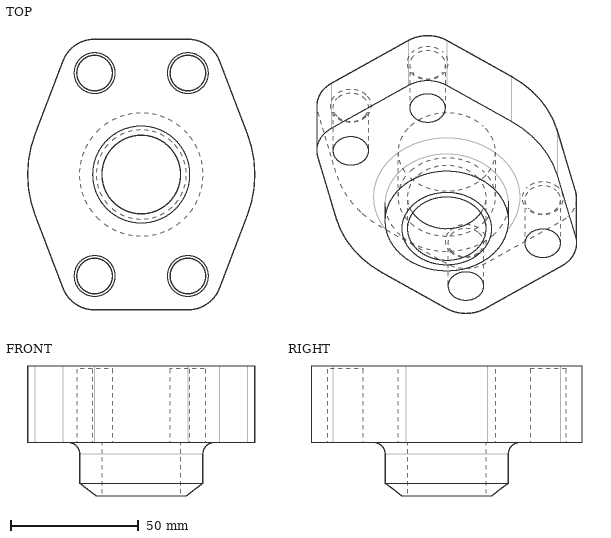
import cadquery as cq
import math

flange_thickness = 30.0
side_radius = 44.5
flange_length = 106.0

bolt_pitch_x = 36.5
bolt_pitch_y = 79.4
bolt_hole_diameter = 13.84
countersink_diameter = 16.0
countersink_angle = 90.0

total_height = 51.0
neck_diameter = 48.3
neck_fillet = 4.5
weld_bevel_angle = 37.5
weld_land = 2.2

bore_diameter = 30.7
counterbore_diameter = 38.0
counterbore_depth = flange_thickness

bolt_x = bolt_pitch_x / 2
bolt_y = bolt_pitch_y / 2
corner_radius = flange_length / 2 - bolt_y
neck_radius = neck_diameter / 2
neck_end_radius = bore_diameter / 2 + weld_land
bevel_height = (neck_radius - neck_end_radius) * math.tan(math.radians(weld_bevel_angle))


def make_flange():
    """Block bounded by the tangent lines between the side arcs and the corner arcs."""
    bolt_distance = math.hypot(bolt_x, bolt_y)
    bolt_direction = math.atan2(bolt_y, bolt_x)
    tangent_angle = bolt_direction - math.acos((side_radius - corner_radius) / bolt_distance)
    corner_mid_angle = (tangent_angle + math.pi / 2) / 2

    side_end_x = side_radius * math.cos(tangent_angle)
    side_end_y = side_radius * math.sin(tangent_angle)
    corner_start_x = bolt_x + corner_radius * math.cos(tangent_angle)
    corner_start_y = bolt_y + corner_radius * math.sin(tangent_angle)
    corner_mid_x = bolt_x + corner_radius * math.cos(corner_mid_angle)
    corner_mid_y = bolt_y + corner_radius * math.sin(corner_mid_angle)
    end_y = flange_length / 2

    outline = (
        cq.Workplane("XY")
        .workplane(offset=-flange_thickness)
        .moveTo(side_end_x, -side_end_y)
        .threePointArc((side_radius, 0), (side_end_x, side_end_y))
        .lineTo(corner_start_x, corner_start_y)
        .threePointArc((corner_mid_x, corner_mid_y), (bolt_x, end_y))
        .lineTo(-bolt_x, end_y)
        .threePointArc((-corner_mid_x, corner_mid_y), (-corner_start_x, corner_start_y))
        .lineTo(-side_end_x, side_end_y)
        .threePointArc((-side_radius, 0), (-side_end_x, -side_end_y))
        .lineTo(-corner_start_x, -corner_start_y)
        .threePointArc((-corner_mid_x, -corner_mid_y), (-bolt_x, -end_y))
        .lineTo(bolt_x, -end_y)
        .threePointArc((corner_mid_x, -corner_mid_y), (corner_start_x, -corner_start_y))
        .close()
    )
    return outline.extrude(flange_thickness)


def make_neck():
    """Neck revolved about Z, with a concave fillet at the flange and a bevelled end."""
    fillet_center_x = neck_radius + neck_fillet
    fillet_bottom_z = -flange_thickness - neck_fillet
    fillet_mid_offset = neck_fillet * math.sqrt(0.5)
    fillet_mid = (fillet_center_x - fillet_mid_offset, fillet_bottom_z + fillet_mid_offset)

    profile = (
        cq.Workplane("XZ")
        .moveTo(0, -flange_thickness)
        .lineTo(fillet_center_x, -flange_thickness)
        .threePointArc(fillet_mid, (neck_radius, fillet_bottom_z))
        .lineTo(neck_radius, -total_height + bevel_height)
        .lineTo(neck_end_radius, -total_height)
        .lineTo(0, -total_height)
        .close()
    )
    return profile.revolve(360, (0, 0, 0), (0, 1, 0))


def cut_bore(body):
    """Stepped bore through the flange and neck, wide at the flange face."""
    return (
        body.faces(">Z")
        .workplane(origin=(0, 0, 0))
        .cboreHole(bore_diameter, counterbore_diameter, counterbore_depth)
    )


def cut_bolt_holes(body):
    """Four through holes, countersunk on the flange face."""
    return (
        body.faces(">Z")
        .workplane(origin=(0, 0, 0))
        .rect(bolt_pitch_x, bolt_pitch_y, forConstruction=True)
        .vertices()
        .cskHole(bolt_hole_diameter, countersink_diameter, countersink_angle)
    )


flange_with_neck = make_flange().union(make_neck())
result = cut_bolt_holes(cut_bore(flange_with_neck))